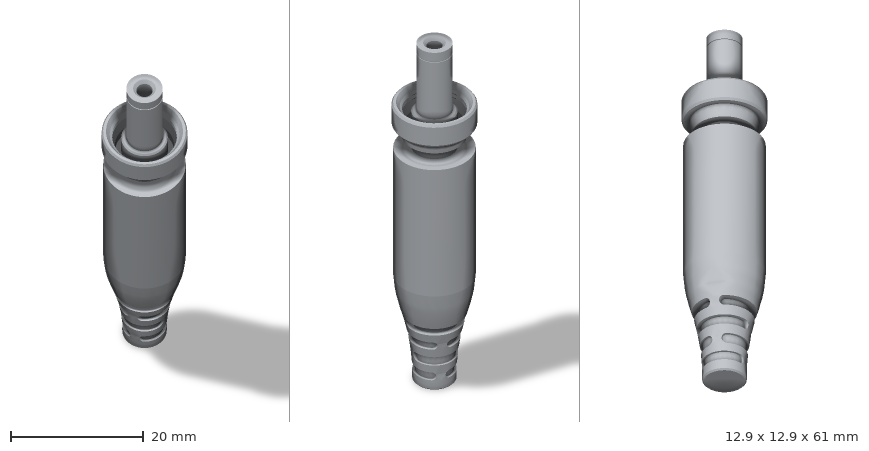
import cadquery as cq


TOTAL_HEIGHT = 60.95
SLEEVE_TOP = 42.0
SLEEVE_BOTTOM = 19.0

SLEEVE_RADIUS = 6.2
SHOULDER_BOTTOM = 12.25
SHOULDER_MID_Z = 15.85
SHOULDER_MID_RADIUS = 5.85
SHOULDER_RADIUS = 4.95
TAIL_MID_Z = 7.85
TAIL_MID_RADIUS = 3.95
TAIL_END_Z = 1.8
TAIL_RADIUS = 3.35
TAIL_CHAMFER = 0.25

SLOT_PITCH = 3.0
SLOT_HEIGHTS = [1.45, 1.45, 1.65, 1.45]
WEB_HALF_WIDTH = 0.75
SLOT_REACH = 2 * SLEEVE_RADIUS
FLEX_CORE_TOP_RADIUS = 3.85
FLEX_CORE_BOTTOM_RADIUS = 2.8

BASE_RADIUS = 4.95
BASE_TOP = 42.2
BASE_RIM_CHAMFER = 0.4
NECK_DIAMETER = 7.0
NECK_RADIUS = NECK_DIAMETER / 2
NECK_TOP = 48.9
NECK_CHAMFER = 0.25

CUP_TOP = 50.2
CUP_RADIUS = 6.45
CUP_CHAMFER_WIDTH = 0.25
CUP_CHAMFER_HEIGHT = 0.35
CUP_RIM_BOTTOM = 46.2
CUP_SKIRT_BOTTOM = 44.1
CUP_SKIRT_TOP_RADIUS = 5.25
CUP_SKIRT_MID_Z = 45.1
CUP_SKIRT_MID_RADIUS = 5.1
CUP_SKIRT_BOTTOM_RADIUS = 4.9
CUP_MOUTH_RADIUS = 5.8
RIDGE_COUNT = 2
RIDGE_PITCH = 0.75
RIDGE_ROOT_RADIUS = 5.25
RIDGE_CREST_RADIUS = 4.9
RIDGES_TOP = 49.35
CUP_WELL_TOP = 46.6
CUP_WELL_RADIUS = 4.45
CUP_FLOOR = 45.1

BARREL_RADIUS = 2.75
BARREL_BORE_RADIUS = 2.3
GROOVE_TOP = 59.35
GROOVE_WIDTH = 0.2
GROOVE_DEPTH = 0.1
SOCKET_RADIUS = 1.2
SOCKET_MOUTH_RADIUS = 1.7
SOCKET_BOTTOM = NECK_TOP
SOCKET_POINT_DEPTH = 0.75


def turned(profile):
    """Spin a closed (radius, height) outline around the Z axis."""
    return profile.close().revolve(360, (0, 0, 0), (0, 1, 0))


def cylinder(radius, bottom, top):
    return cq.Workplane("XY").workplane(offset=bottom).circle(radius).extrude(top - bottom)


def make_flex_core():
    """Tapered core that stays solid behind the flex slots."""
    profile = (
        cq.Workplane("XZ")
        .lineTo(FLEX_CORE_BOTTOM_RADIUS, 0)
        .lineTo(FLEX_CORE_TOP_RADIUS, SHOULDER_BOTTOM)
        .lineTo(0, SHOULDER_BOTTOM)
    )
    return turned(profile)


def make_slot_pair(top_z, height, plane):
    """Two round-ended slots on opposite sides of a web, cut straight through along the plane normal."""
    center_offset = WEB_HALF_WIDTH + SLOT_REACH / 2
    center_z = top_z - height / 2
    return (
        cq.Workplane(plane)
        .pushPoints([(-center_offset, center_z), (center_offset, center_z)])
        .slot2D(SLOT_REACH, height)
        .extrude(SLOT_REACH, both=True)
    )


def make_grip():
    """Sleeve, shoulder and slotted tail in one piece, bored for the plug base."""
    profile = (
        cq.Workplane("XZ")
        .lineTo(TAIL_RADIUS - TAIL_CHAMFER, 0)
        .lineTo(TAIL_RADIUS, TAIL_CHAMFER)
        .lineTo(TAIL_RADIUS, TAIL_END_Z)
        .threePointArc((TAIL_MID_RADIUS, TAIL_MID_Z), (SHOULDER_RADIUS, SHOULDER_BOTTOM))
        .threePointArc((SHOULDER_MID_RADIUS, SHOULDER_MID_Z), (SLEEVE_RADIUS, SLEEVE_BOTTOM))
        .lineTo(SLEEVE_RADIUS, SLEEVE_TOP)
        .lineTo(0, SLEEVE_TOP)
    )
    grip = turned(profile).cut(cylinder(BASE_RADIUS, SLEEVE_BOTTOM, SLEEVE_TOP))
    flex_core = make_flex_core()
    for level, height in enumerate(SLOT_HEIGHTS):
        plane = "YZ" if level % 2 == 0 else "XZ"
        slots = make_slot_pair(SHOULDER_BOTTOM - level * SLOT_PITCH, height, plane)
        grip = grip.cut(slots.cut(flex_core))
    return grip


def make_base():
    """Plug that fills the sleeve, with its neck and the seat of the barrel."""
    plug = cylinder(BASE_RADIUS, SLEEVE_BOTTOM, BASE_TOP)
    plug = plug.faces(">Z").chamfer(BASE_TOP - SLEEVE_TOP, BASE_RIM_CHAMFER)
    neck = cylinder(NECK_RADIUS, BASE_TOP, NECK_TOP).faces(">Z").chamfer(NECK_CHAMFER)
    return plug.union(neck).cut(cylinder(BARREL_RADIUS, BASE_TOP, NECK_TOP))


def make_cup():
    """Chamfered cup with snap ridges inside its mouth and a well around the neck."""
    profile = (
        cq.Workplane("XZ")
        .moveTo(NECK_RADIUS, CUP_SKIRT_BOTTOM)
        .lineTo(CUP_SKIRT_BOTTOM_RADIUS, CUP_SKIRT_BOTTOM)
        .threePointArc((CUP_SKIRT_MID_RADIUS, CUP_SKIRT_MID_Z), (CUP_SKIRT_TOP_RADIUS, CUP_RIM_BOTTOM))
        .lineTo(CUP_RADIUS - CUP_CHAMFER_WIDTH, CUP_RIM_BOTTOM)
        .lineTo(CUP_RADIUS, CUP_RIM_BOTTOM + CUP_CHAMFER_HEIGHT)
        .lineTo(CUP_RADIUS, CUP_TOP - CUP_CHAMFER_HEIGHT)
        .lineTo(CUP_RADIUS - CUP_CHAMFER_WIDTH, CUP_TOP)
        .lineTo(CUP_MOUTH_RADIUS, CUP_TOP)
        .lineTo(RIDGE_ROOT_RADIUS, RIDGES_TOP)
    )
    for ridge in range(RIDGE_COUNT):
        ridge_top = RIDGES_TOP - ridge * RIDGE_PITCH
        profile = profile.lineTo(RIDGE_CREST_RADIUS, ridge_top - RIDGE_PITCH / 2)
        profile = profile.lineTo(RIDGE_ROOT_RADIUS, ridge_top - RIDGE_PITCH)
    profile = (
        profile.lineTo(CUP_WELL_RADIUS, CUP_WELL_TOP)
        .lineTo(CUP_WELL_RADIUS, CUP_FLOOR)
        .lineTo(NECK_RADIUS, CUP_FLOOR)
    )
    return turned(profile)


def make_barrel():
    """Metal tube with a retaining groove near its tip."""
    tube = cylinder(BARREL_RADIUS, BASE_TOP, TOTAL_HEIGHT)
    tube = tube.cut(cylinder(BARREL_BORE_RADIUS, BASE_TOP, TOTAL_HEIGHT))
    groove_bottom = GROOVE_TOP - GROOVE_WIDTH
    groove = cylinder(BARREL_RADIUS, groove_bottom, GROOVE_TOP).cut(
        cylinder(BARREL_RADIUS - GROOVE_DEPTH, groove_bottom, GROOVE_TOP)
    )
    return tube.cut(groove)


def make_bushing():
    """Bushing that fills the barrel, with a countersunk pin socket ending in a drill point."""
    mouth_depth = SOCKET_MOUTH_RADIUS - SOCKET_RADIUS
    profile = (
        cq.Workplane("XZ")
        .moveTo(0, BASE_TOP)
        .lineTo(BARREL_BORE_RADIUS, BASE_TOP)
        .lineTo(BARREL_BORE_RADIUS, TOTAL_HEIGHT)
        .lineTo(SOCKET_MOUTH_RADIUS, TOTAL_HEIGHT)
        .lineTo(SOCKET_RADIUS, TOTAL_HEIGHT - mouth_depth)
        .lineTo(SOCKET_RADIUS, SOCKET_BOTTOM)
        .lineTo(0, SOCKET_BOTTOM - SOCKET_POINT_DEPTH)
    )
    return turned(profile)


grip = make_grip()
base = make_base()
cup = make_cup()
barrel = make_barrel()
bushing = make_bushing()

result = cq.Compound.makeCompound([grip.val(), base.val(), cup.val(), barrel.val(), bushing.val()])